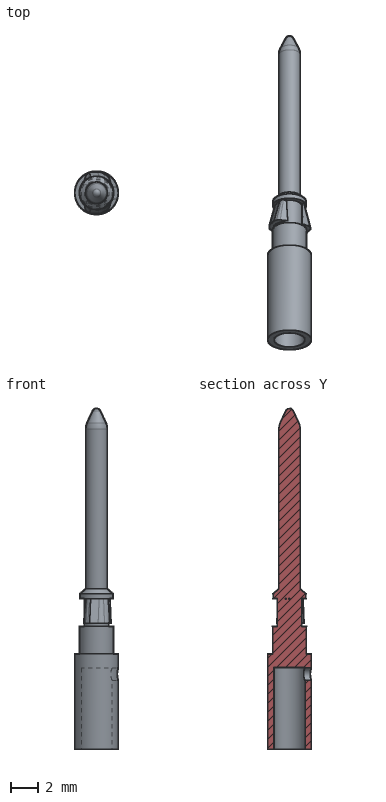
import cadquery as cq
import math

total_length = 25.0
barrel_diameter = 3.2
barrel_length = 7.0
wire_bore_diameter = 2.25
wire_bore_depth = 6.0
inspection_hole_diameter = 0.9
inspection_hole_height = 5.52

neck_diameter = 2.52
neck_top = 9.02
core_diameter = 1.8
collar_diameter = 2.45
collar_bottom = 11.05
collar_edge_height = 0.35
collar_cone_height = 0.38

pin_diameter = 1.6
tip_cone_angle = 25.0
tip_dome_radius = 0.32
tip_blend_radius = 1.02

tang_bottom = 9.25
tang_flat_width = 0.6
tang_root_reach = 1.0
tang_root_shift = -0.12
tang_free_reach = 1.5
tang_free_shift = -0.2
tang_inner_diameter = 2.25
tang_bulge_ratio = 0.1


def turned_body():
    """Revolve the stepped contact, including its rounded tip."""
    barrel_radius = barrel_diameter / 2
    neck_radius = neck_diameter / 2
    collar_radius = collar_diameter / 2
    core_radius = core_diameter / 2
    pin_radius = pin_diameter / 2
    collar_edge_top = collar_bottom + collar_edge_height
    collar_top = collar_edge_top + collar_cone_height

    angle = math.radians(tip_cone_angle)
    dome_center = total_length - tip_dome_radius

    def dome_point(elevation):
        return (
            tip_dome_radius * math.cos(elevation),
            dome_center + tip_dome_radius * math.sin(elevation),
        )

    dome_start = dome_point(angle)
    dome_middle = dome_point((angle + math.pi / 2) / 2)

    blend_center_radius = pin_radius - tip_blend_radius
    blend_end_radius = blend_center_radius + tip_blend_radius * math.cos(angle)
    cone_height = (blend_end_radius - dome_start[0]) / math.tan(angle)
    blend_end_height = dome_start[1] - cone_height
    blend_start_height = blend_end_height - tip_blend_radius * math.sin(angle)
    blend_middle = (
        blend_center_radius + tip_blend_radius * math.cos(angle / 2),
        blend_start_height + tip_blend_radius * math.sin(angle / 2),
    )

    return (
        cq.Workplane("XZ")
        .lineTo(barrel_radius, 0)
        .lineTo(barrel_radius, barrel_length)
        .lineTo(neck_radius, barrel_length)
        .lineTo(neck_radius, neck_top)
        .lineTo(core_radius, neck_top)
        .lineTo(core_radius, collar_bottom)
        .lineTo(collar_radius, collar_bottom)
        .lineTo(collar_radius, collar_edge_top)
        .lineTo(pin_radius, collar_top)
        .lineTo(pin_radius, blend_start_height)
        .threePointArc(blend_middle, (blend_end_radius, blend_end_height))
        .lineTo(*dome_start)
        .threePointArc(dome_middle, (0, total_length))
        .close()
        .revolve(360, (0, 0, 0), (0, 1, 0))
    )


def wire_bore():
    """Blind bore that takes the wire, open at the bottom."""
    return cq.Workplane("XY").circle(wire_bore_diameter / 2).extrude(wire_bore_depth)


def inspection_hole():
    """Radial hole through the +X wall of the barrel into the bore."""
    return (
        cq.Workplane("YZ")
        .center(0, inspection_hole_height)
        .circle(inspection_hole_diameter / 2)
        .extrude(barrel_diameter)
    )


def bulged_middle(start, end):
    """Middle point of a shallow arc that turns clockwise from start to end."""
    step_x = end[0] - start[0]
    step_y = end[1] - start[1]
    return (
        (start[0] + end[0]) / 2 - tang_bulge_ratio * step_y,
        (start[1] + end[1]) / 2 + tang_bulge_ratio * step_x,
    )


def tang_section(height, flat_start, flat_end, curve_side, curve_end, inner_end,
                 inner_middle, inner_start, end_face_corner, corner_side):
    """Horizontal section of the tang, listed clockwise from the -X end of its outer flat.

    The wide +X curve and the tight -X corner are each split by a crease,
    at curve_side and corner_side. The inner side is an arc around the core.
    """
    return (
        cq.Workplane("XY", origin=(0, 0, height))
        .moveTo(*flat_start)
        .lineTo(*flat_end)
        .threePointArc(bulged_middle(flat_end, curve_side), curve_side)
        .threePointArc(bulged_middle(curve_side, curve_end), curve_end)
        .lineTo(*inner_end)
        .threePointArc(inner_middle, inner_start)
        .lineTo(*end_face_corner)
        .threePointArc(bulged_middle(end_face_corner, corner_side), corner_side)
        .lineTo(*flat_start)
        .close()
        .val()
    )


def locking_tang():
    """Tang on the +Y side, lofted from its root at the collar to its free end."""
    root_section = tang_section(
        height=collar_bottom,
        flat_start=(-tang_flat_width / 2 + tang_root_shift, tang_root_reach),
        flat_end=(tang_flat_width / 2 + tang_root_shift, tang_root_reach),
        curve_side=(0.5, 0.95),
        curve_end=(0.85, 0.82),
        inner_end=(1, 0.6),
        inner_middle=(0, core_diameter / 2),
        inner_start=(-0.78, 0.62),
        end_face_corner=(-0.7, 0.85),
        corner_side=(-0.55, 0.95),
    )
    free_section = tang_section(
        height=tang_bottom,
        flat_start=(-tang_flat_width / 2 + tang_free_shift, tang_free_reach),
        flat_end=(tang_flat_width / 2 + tang_free_shift, tang_free_reach),
        curve_side=(0.58, 1.38),
        curve_end=(0.98, 1),
        inner_end=(1.08, 0.6),
        inner_middle=(0, tang_inner_diameter / 2),
        inner_start=(-0.95, 0.6),
        end_face_corner=(-0.82, 1.18),
        corner_side=(-0.65, 1.4),
    )
    return cq.Workplane(cq.Solid.makeLoft([root_section, free_section], True))


tang = locking_tang()
result = (
    turned_body()
    .union(tang)
    .union(tang.mirror("XZ"))
    .cut(wire_bore())
    .cut(inspection_hole())
)